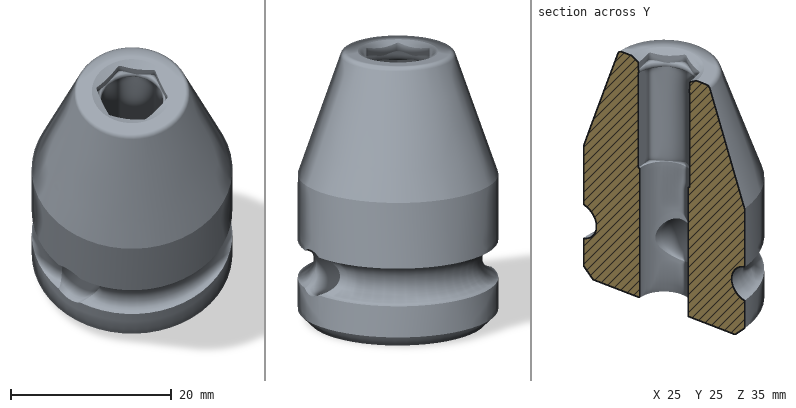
import cadquery as cq
import math

height = 35.0
body_radius = 12.5
cone_base_z = 19.0
nose_radius = 7.0
nose_fillet = 0.7
base_chamfer = 1.5

groove_z = 8.0
groove_section_radius = 2.5
groove_floor_radius = 10.5
pin_hole_diameter = 6.0

hex_sides = 6
hex_across_flats = 7.85
hex_corner_fillet = 0.35
hex_depth = 16.0
bore_radius = 3.75
mouth_radius = 5.0
mouth_slope = math.radians(30)

ring_inner_radius = 3.86
ring_section_radius = 0.56
ring_depth = 1.92


def make_body():
    """Cylinder with a chamfered base and a tapered, rounded nose."""
    profile = (
        cq.Workplane("XZ")
        .lineTo(body_radius - base_chamfer, 0)
        .lineTo(body_radius, base_chamfer)
        .lineTo(body_radius, cone_base_z)
        .lineTo(nose_radius, height)
        .lineTo(0, height)
        .close()
    )
    return profile.revolve().faces(">Z").edges().fillet(nose_fillet)


def make_torus(center_radius, section_radius, z):
    """Ring of round section about the Z axis."""
    section = cq.Workplane("XZ").center(center_radius, z).circle(section_radius)
    return section.revolve(360, (-center_radius, 0), (-center_radius, 1))


def make_pin_hole():
    """Cross hole running right through the part along Y."""
    hole = cq.Workplane("XZ").center(0, groove_z).circle(pin_hole_diameter / 2)
    return hole.extrude(body_radius, both=True)


def make_hex_socket():
    """Hexagonal socket with softened corners, two of them in the YZ plane."""
    corner_diameter = hex_across_flats / math.cos(math.pi / hex_sides)
    hexagon = (
        cq.Workplane("XY", origin=(0, 0, height - hex_depth))
        .transformed(rotate=(0, 0, 90))
        .polygon(hex_sides, corner_diameter)
    )
    return hexagon.extrude(hex_depth).edges("|Z").fillet(hex_corner_fillet)


def make_bore():
    """Round bore through the whole height, narrower than the hexagon."""
    return cq.Workplane("XY").circle(bore_radius).extrude(height)


def make_mouth():
    """Conical countersink at the top of the hexagonal socket."""
    apex_z = height - mouth_radius * math.tan(mouth_slope)
    profile = (
        cq.Workplane("XZ")
        .moveTo(0, apex_z)
        .lineTo(mouth_radius, height)
        .lineTo(0, height)
        .close()
    )
    return profile.revolve(360, (0, 0), (0, 1))


groove = make_torus(groove_floor_radius + groove_section_radius, groove_section_radius, groove_z)
retaining_ring = make_torus(
    ring_inner_radius + ring_section_radius, ring_section_radius, height - ring_depth
)

result = make_body().cut(groove).cut(make_pin_hole())
result = result.cut(make_bore()).cut(make_hex_socket()).cut(make_mouth())
result = result.union(retaining_ring)